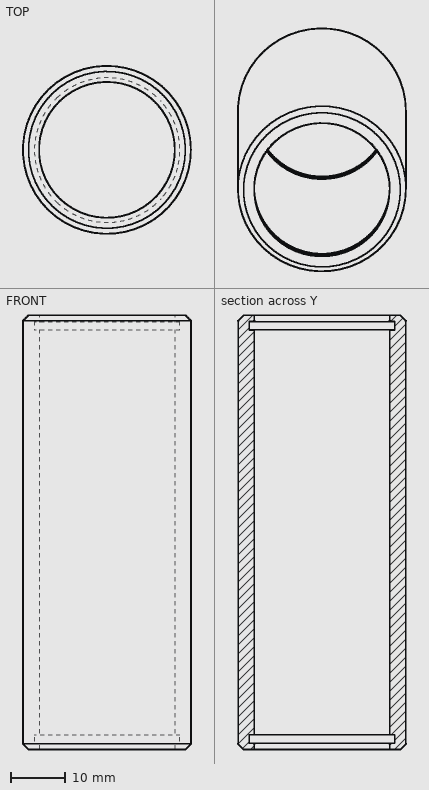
import cadquery as cq

length = 80.0
outer_diameter = 31.0
bore_diameter = 25.0
end_chamfer = 1.0

groove_diameter = 26.7
groove_width = 1.5
groove_end_distance = 1.2


def centred_cylinder(diameter, height, z_center=0.0):
    """Solid cylinder on the Z axis with its mid-height at z_center."""
    return cq.Workplane("XY").cylinder(height, diameter / 2).translate((0, 0, z_center))


result = centred_cylinder(outer_diameter, length).faces("|Z").edges().chamfer(end_chamfer)
result = result.cut(centred_cylinder(bore_diameter, length))

groove_z = length / 2 - groove_end_distance - groove_width / 2
for end in (-1, 1):
    result = result.cut(centred_cylinder(groove_diameter, groove_width, end * groove_z))